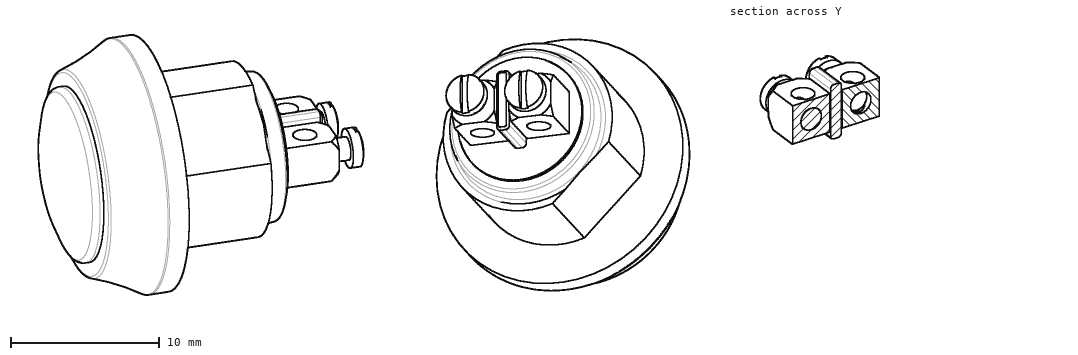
import cadquery as cq
import math


bezel_radius = 17.5 / 2
bezel_rim_width = 1.45
bezel_front_radius = 7.08
bezel_depth = 5.15
bezel_slope_radius = 15.0
bezel_edge_round = 0.2

barrel_radius = 12.0 / 2
barrel_length = 6.75
flat_distance = 5.3
flat_angle = 45.0

collar_root_radius = 5.29
collar_rear_radius = 5.1
collar_end = 8.15
collar_root_round = 0.25
collar_rear_round = 0.2
disc_radius = 8.8 / 2
disc_end = 8.4

divider_thickness = 0.9
divider_height = 4.24
divider_end = 12.12
divider_edge_round = 0.29
divider_tip_chamfer = 0.17

button_radius = barrel_radius
button_front = 7.2
dome_radius = 13.1
button_edge_round = 0.5

terminal_size = 3.0
terminal_spacing = 4.0
terminal_length = 3.9
terminal_end = disc_end + terminal_length
corner_cone_radius = 1.69
corner_cone_half_angle = 38.0
wire_hole_diameter = 1.6
wire_hole_depth_from_end = 1.95

shank_radius = 1.6 / 2
shank_length = 3.5
head_radius = 2.7 / 2
head_rim_height = 0.7
head_height = 1.02
slot_width = 0.5
slot_depth = 0.5
seated_gap = 0.55
loose_gap = 1.05
screw_bore_depth = shank_length - seated_gap


def revolve_about_y(profile):
    """Turn a closed XY profile one full turn about the Y axis."""
    return profile.revolve(360, (0, 0, 0), (0, 1, 0))


def arc_middle(start, end, sagitta):
    """Point midway along an arc, offset to the left of the line from start to end."""
    run = end[0] - start[0]
    rise = end[1] - start[1]
    chord = math.hypot(run, rise)
    middle_x = (start[0] + end[0]) / 2 - sagitta * rise / chord
    middle_y = (start[1] + end[1]) / 2 + sagitta * run / chord
    return (middle_x, middle_y)


def arc_sagitta(radius, chord):
    """Height of a circular arc above its chord."""
    return radius - math.sqrt(radius**2 - (chord / 2) ** 2)


def circle_edges_at(body, y):
    """Edges of a body of revolution that lie in the plane at the given Y."""
    tolerance = 0.01
    lower = (-2 * bezel_radius, y - tolerance, -2 * bezel_radius)
    upper = (2 * bezel_radius, y + tolerance, 2 * bezel_radius)
    return body.edges(cq.selectors.BoxSelector(lower, upper, boundingbox=True))


def make_bezel():
    slope_front = (bezel_front_radius, -bezel_depth)
    slope_rear = (bezel_radius, -bezel_rim_width)
    slope_chord = math.dist(slope_front, slope_rear)
    slope_middle = arc_middle(slope_front, slope_rear, arc_sagitta(bezel_slope_radius, slope_chord))
    profile = (
        cq.Workplane("XY")
        .moveTo(0, -bezel_depth)
        .lineTo(*slope_front)
        .threePointArc(slope_middle, slope_rear)
        .lineTo(bezel_radius, 0)
        .lineTo(0, 0)
        .close()
    )
    bezel = revolve_about_y(profile)
    bezel = circle_edges_at(bezel, -bezel_depth).fillet(bezel_edge_round)
    return circle_edges_at(bezel, -bezel_rim_width).fillet(bezel_edge_round)


def make_barrel():
    profile = (
        cq.Workplane("XY")
        .lineTo(barrel_radius, 0)
        .lineTo(barrel_radius, barrel_length)
        .lineTo(collar_root_radius, barrel_length)
        .lineTo(collar_rear_radius, collar_end)
        .lineTo(disc_radius, collar_end)
        .lineTo(disc_radius, disc_end)
        .lineTo(0, disc_end)
        .close()
    )
    barrel = revolve_about_y(profile)
    collar_root = cq.selectors.RadiusNthSelector(-2)
    barrel = circle_edges_at(barrel, barrel_length).edges(collar_root).fillet(collar_root_round)
    collar_rim = cq.selectors.RadiusNthSelector(-1)
    barrel = circle_edges_at(barrel, collar_end).edges(collar_rim).fillet(collar_rear_round)
    cut_width = 2 * barrel_radius
    for angle in (flat_angle, flat_angle + 180):
        flat_cut = (
            cq.Workplane("XY")
            .box(cut_width, disc_end, cut_width, centered=(False, False, True))
            .translate((flat_distance, 0, 0))
            .rotate((0, 0, 0), (0, 1, 0), -angle)
        )
        barrel = barrel.cut(flat_cut)
    return barrel


def make_divider():
    divider = (
        cq.Workplane("XY")
        .box(divider_thickness, divider_end - disc_end, divider_height, centered=(True, False, True))
        .edges("|Y")
        .fillet(divider_edge_round)
        .faces(">Y")
        .chamfer(divider_tip_chamfer)
    )
    return divider.translate((0, disc_end, 0))


def make_housing():
    return make_bezel().union(make_barrel()).union(make_divider())


def make_button():
    dome_edge = -button_front + arc_sagitta(dome_radius, 2 * button_radius)
    half_arc = math.asin(button_radius / dome_radius) / 2
    dome_middle = (
        dome_radius * math.sin(half_arc),
        -button_front + dome_radius * (1 - math.cos(half_arc)),
    )
    profile = (
        cq.Workplane("XY")
        .moveTo(0, -button_front)
        .threePointArc(dome_middle, (button_radius, dome_edge))
        .lineTo(button_radius, -bezel_depth)
        .lineTo(0, -bezel_depth)
        .close()
    )
    button = revolve_about_y(profile)
    return circle_edges_at(button, dome_edge).fillet(button_edge_round)


def make_terminal(x):
    block = cq.Workplane("XY").box(
        terminal_size, terminal_length, terminal_size, centered=(True, False, True)
    )
    block = block.translate((0, disc_end, 0))
    cone_base_radius = corner_cone_radius + terminal_length * math.tan(math.radians(corner_cone_half_angle))
    corner_cone = revolve_about_y(
        cq.Workplane("XY")
        .moveTo(0, disc_end)
        .lineTo(cone_base_radius, disc_end)
        .lineTo(corner_cone_radius, terminal_end)
        .lineTo(0, terminal_end)
        .close()
    )
    wire_hole = (
        cq.Workplane("XY")
        .center(0, terminal_end - wire_hole_depth_from_end)
        .circle(wire_hole_diameter / 2)
        .extrude(terminal_size, both=True)
    )
    screw_bore = revolve_about_y(
        cq.Workplane("XY")
        .moveTo(0, terminal_end - screw_bore_depth)
        .lineTo(shank_radius, terminal_end - screw_bore_depth)
        .lineTo(shank_radius, terminal_end)
        .lineTo(0, terminal_end)
        .close()
    )
    terminal = block.intersect(corner_cone).cut(wire_hole).cut(screw_bore)
    return terminal.translate((x, 0, 0))


def make_screw(x, gap):
    """Slotted screw whose head stands the given gap clear of the terminal."""
    head_rim = (head_radius, head_rim_height)
    head_top = (0, head_height)
    crown = head_height - head_rim_height
    crown_radius = (head_radius**2 + crown**2) / (2 * crown)
    crown_sagitta = arc_sagitta(crown_radius, math.dist(head_rim, head_top))
    profile = (
        cq.Workplane("XY")
        .moveTo(0, -shank_length)
        .lineTo(shank_radius, -shank_length)
        .lineTo(shank_radius, 0)
        .lineTo(head_radius, 0)
        .lineTo(*head_rim)
        .threePointArc(arc_middle(head_rim, head_top, -crown_sagitta), head_top)
        .close()
    )
    slot = (
        cq.Workplane("XY")
        .box(slot_width, head_height, 2 * head_radius, centered=(True, False, True))
        .translate((0, head_height - slot_depth, 0))
    )
    screw = revolve_about_y(profile).cut(slot)
    return screw.translate((x, terminal_end + gap, 0))


housing = make_housing()
button = make_button()
terminals = []
screws = []
for side, gap in ((-1, seated_gap), (1, loose_gap)):
    terminal_x = side * terminal_spacing / 2
    terminals.append(make_terminal(terminal_x).val())
    screws.append(make_screw(terminal_x, gap).val())

result = cq.Compound.makeCompound([housing.val(), button.val(), *terminals, *screws])